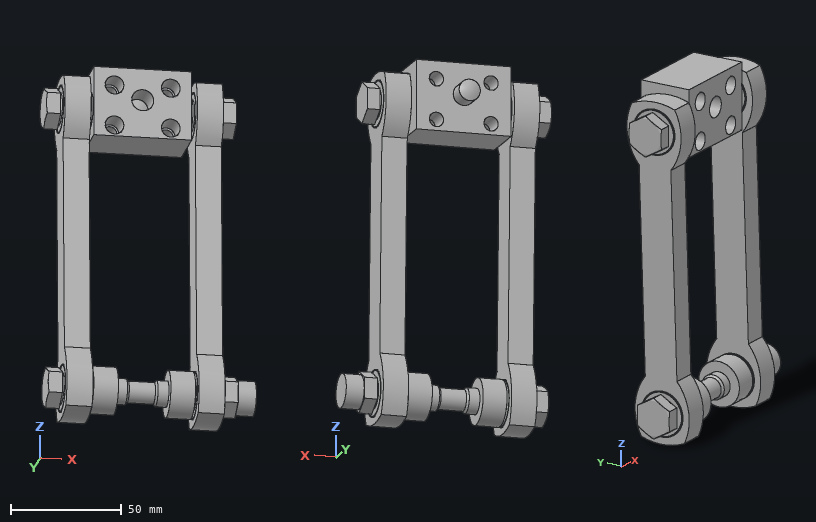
import cadquery as cq
import math


overall_height = 167.5

joint_distance = 134.8
joint_shift_y = 4.4
rod_tilt = math.degrees(math.asin(joint_shift_y / joint_distance))
upper_joint_z = math.sqrt(joint_distance**2 - joint_shift_y**2)
rod_center_x = 30.5
rod_thickness = 12.0
arm_width = 17.0
head_reach = 14.5
head_side_radius = 26.8
head_corner_width = 23.1

race_diameter = 22.0
race_chamfer = 0.5

ball_radius = 9.5
ball_length = 14.0
ball_inner_x = rod_center_x - ball_length / 2
ball_outer_x = rod_center_x + ball_length / 2

hex_flats = 17.0
hex_corners = hex_flats / math.cos(math.pi / 6)
head_height = 6.5
nut_height = 6.0
head_chamfer_depth = 0.42

block_width = 45.0
block_back = 15.7
block_front = 10.0
block_top = overall_height - upper_joint_z - head_reach
block_bottom = 14.5
block_depth = block_back + block_front
boss_diameter = 17.0
screw_spacing_x = 26.0
screw_spacing_z = 19.1
screw_offset_z = 0.2
screw_diameter = 6.7
counterbore_diameter = 8.5
counterbore_depth = block_depth / 2

pin_diameter = 10.0
pin_rise = 3.2
pin_projection = 10.4
pin_recess = block_depth / 2
pin_dome_height = 1.3

collar_diameter = 22.0
collar_width = 11.4
shaft_diameter = 12.0
waist_diameter = 10.0
waist_length = 12.0
tail_diameter = 16.0
tail_end_x = 52.4
tail_dome_height = 0.3


def x_cylinder(diameter, x_start, x_end):
    """Cylinder on the X axis between two X positions."""
    return cq.Workplane("YZ", origin=(x_start, 0, 0)).circle(diameter / 2).extrude(x_end - x_start)


def dome_midpoint(radius, height):
    """Halfway point of a dome's arc: its drop below the tip and its distance from the axis."""
    sphere_radius = (radius**2 + height**2) / (2 * height)
    half_angle = math.asin(radius / sphere_radius) / 2
    return sphere_radius * (1 - math.cos(half_angle)), sphere_radius * math.sin(half_angle)


def domed_bar(diameter, x_start, x_end, start_dome, end_dome):
    """Round bar on the X axis; the end is domed, and so is the start unless its dome height is zero."""
    radius = diameter / 2
    profile = cq.Workplane("XY").moveTo(x_start, 0)
    if start_dome > 0:
        drop, offset = dome_midpoint(radius, start_dome)
        profile = profile.threePointArc((x_start + drop, offset), (x_start + start_dome, radius))
    else:
        profile = profile.lineTo(x_start, radius)
    drop, offset = dome_midpoint(radius, end_dome)
    profile = profile.lineTo(x_end - end_dome, radius)
    profile = profile.threePointArc((x_end - drop, offset), (x_end, 0))
    return profile.close().revolve(360, (0, 0), (1, 0))


def ball(side):
    """Ball with flat ends; side is -1 for the left rod and +1 for the right rod."""
    slab = cq.Workplane("XY").box(ball_length, 2 * ball_radius, 2 * ball_radius)
    return cq.Workplane("XY").sphere(ball_radius).intersect(slab).translate((side * rod_center_x, 0, 0))


def hex_prism(x_start, height):
    """Hexagonal prism on the X axis with corners at its top and bottom."""
    prism = cq.Workplane("YZ").polygon(6, hex_corners).extrude(height)
    return prism.rotate((0, 0, 0), (1, 0, 0), 90).translate((x_start, 0, 0))


def bolt_head():
    """Left bolt head, its outer corners turned down to a circle as wide as the flats."""
    x_start = -ball_outer_x - head_height
    turned_profile = [
        (x_start, 0),
        (x_start, hex_flats / 2),
        (x_start + head_chamfer_depth, hex_corners / 2),
        (-ball_outer_x, hex_corners / 2),
        (-ball_outer_x, 0),
    ]
    turned = cq.Workplane("XY").polyline(turned_profile).close().revolve(360, (0, 0), (1, 0))
    return hex_prism(x_start, head_height).intersect(turned)


def joint_hardware():
    """List of the balls, the left bolt head and the right nut along the X axis."""
    return [ball(-1), ball(1), bolt_head(), hex_prism(ball_outer_x, nut_height)]


def joined(parts):
    """Touching parts of one body made into a single solid."""
    body = parts[0]
    for part in parts[1:]:
        body = body.union(part)
    return body


def rod_outline():
    """Straight arm between two heads, with the lower joint at the origin."""
    arc_center = head_reach - head_side_radius
    arm_half = arm_width / 2
    corner_half = head_corner_width / 2
    neck = math.sqrt(head_side_radius**2 - (arm_half - arc_center) ** 2)
    corner = math.sqrt(head_side_radius**2 - (corner_half - arc_center) ** 2)
    top = joint_distance
    return (
        cq.Workplane("YZ")
        .moveTo(arm_half, neck)
        .lineTo(arm_half, top - neck)
        .threePointArc((head_reach, top), (corner_half, top + corner))
        .threePointArc((0, top + head_reach), (-corner_half, top + corner))
        .threePointArc((-head_reach, top), (-arm_half, top - neck))
        .lineTo(-arm_half, neck)
        .threePointArc((-head_reach, 0), (-corner_half, -corner))
        .threePointArc((0, -head_reach), (corner_half, -corner))
        .threePointArc((head_reach, 0), (arm_half, neck))
        .close()
    )


def rod(side):
    """Tilted rod with a chamfered race and a spherical seat at each end."""
    body = rod_outline().extrude(rod_thickness / 2, both=True)
    race_bore = x_cylinder(race_diameter, -rod_thickness / 2, rod_thickness / 2)
    race = race_bore.faces("<X or >X").chamfer(race_chamfer)
    seat = cq.Workplane("XY").sphere(ball_radius)
    for joint_z in (0, joint_distance):
        body = body.cut(race_bore.translate((0, 0, joint_z)))
        body = body.union(race.translate((0, 0, joint_z)))
        body = body.cut(seat.translate((0, 0, joint_z)))
    return body.rotate((0, 0, 0), (1, 0, 0), -rod_tilt).translate((side * rod_center_x, 0, 0))


def lower_axle():
    """Waisted shaft with collars, balls, bolt head, nut and a domed tail."""
    collar_inner_x = ball_inner_x - collar_width
    waist_taper = (shaft_diameter - waist_diameter) / 2
    shaft = x_cylinder(waist_diameter, -collar_inner_x, collar_inner_x)
    collars = []
    for side in (-1, 1):
        collars.append(x_cylinder(collar_diameter, side * collar_inner_x, side * ball_inner_x))
        shoulder = x_cylinder(shaft_diameter, side * waist_length / 2, side * collar_inner_x)
        waist_face = ">X" if side < 0 else "<X"
        collars.append(shoulder.faces(waist_face).chamfer(waist_taper))
    tail = domed_bar(tail_diameter, ball_outer_x, tail_end_x, 0, tail_dome_height)
    return joined([shaft, *collars, *joint_hardware(), tail])


def mounting_block():
    """Drilled block with a boss, a ball and a hexagon on each side, on the upper joint axis."""
    height = block_top + block_bottom
    body = cq.Workplane("XY").box(block_width, block_depth, height).translate(
        (0, (block_back - block_front) / 2, (block_top - block_bottom) / 2)
    )
    bosses = x_cylinder(boss_diameter, -ball_inner_x, ball_inner_x)
    body = joined([body, bosses, *joint_hardware()])
    front = cq.Workplane("XZ", origin=(0, -block_front, 0))
    screw_holes = front.center(0, screw_offset_z).rarray(screw_spacing_x, screw_spacing_z, 2, 2)
    body = body.cut(screw_holes.circle(screw_diameter / 2).extrude(-block_depth))
    body = body.cut(screw_holes.circle(counterbore_diameter / 2).extrude(-counterbore_depth))
    pin_hole = front.center(0, pin_rise).circle(pin_diameter / 2).extrude(-block_depth)
    return body.cut(pin_hole).translate((0, joint_shift_y, upper_joint_z))


def guide_pin():
    """Pin with two domed ends, standing out of the back of the block."""
    front_tip = pin_recess - block_front
    back_tip = block_back + pin_projection
    pin = domed_bar(pin_diameter, front_tip, back_tip, pin_dome_height, pin_dome_height)
    pin = pin.rotate((0, 0, 0), (0, 0, 1), 90)
    return pin.translate((0, joint_shift_y, upper_joint_z + pin_rise))


rods = [rod(side) for side in (-1, 1)]
axle = lower_axle()
block = mounting_block()
pin = guide_pin()

result = cq.Compound.makeCompound(
    [block.val(), pin.val(), axle.val(), *[one_rod.val() for one_rod in rods]]
)